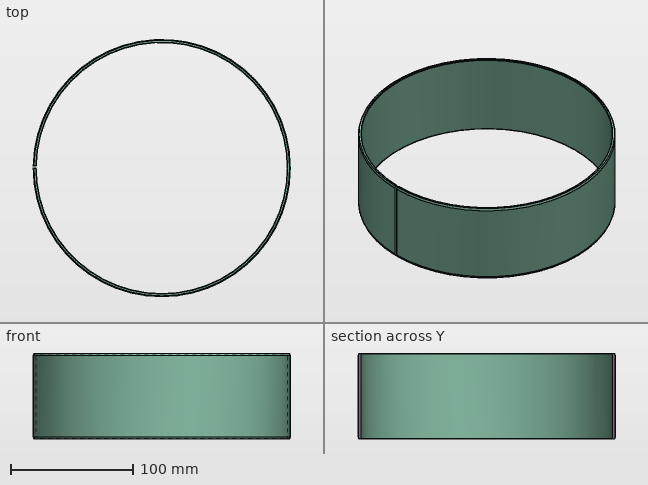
import cadquery as cq

outer_diameter = 210.0
height = 70.0
wall = 2.5
outer_bevel_height = 1.83
outer_bevel_depth = 0.666
inner_bevel_height = 0.6
inner_bevel_depth = 0.35
slit_width = 1.81

outer_radius = outer_diameter / 2
inner_radius = outer_radius - wall
rim_outer_radius = outer_radius - outer_bevel_depth
rim_inner_radius = inner_radius + inner_bevel_depth


def make_band():
    """Closed band: the wall section, bevelled at both rims, revolved about Z."""
    section = (
        cq.Workplane("XZ")
        .moveTo(rim_inner_radius, 0)
        .lineTo(rim_outer_radius, 0)
        .lineTo(outer_radius, outer_bevel_height)
        .lineTo(outer_radius, height - outer_bevel_height)
        .lineTo(rim_outer_radius, height)
        .lineTo(rim_inner_radius, height)
        .lineTo(inner_radius, height - inner_bevel_height)
        .lineTo(inner_radius, inner_bevel_height)
        .close()
    )
    return section.revolve(360, (0, 0, 0), (0, 1, 0))


def make_slit():
    """Full-height cutter that opens the band on the -X side."""
    cutter = cq.Workplane("XY").box(outer_radius, slit_width, height, centered=False)
    return cutter.translate((-outer_radius, 0, 0))


result = make_band().cut(make_slit())